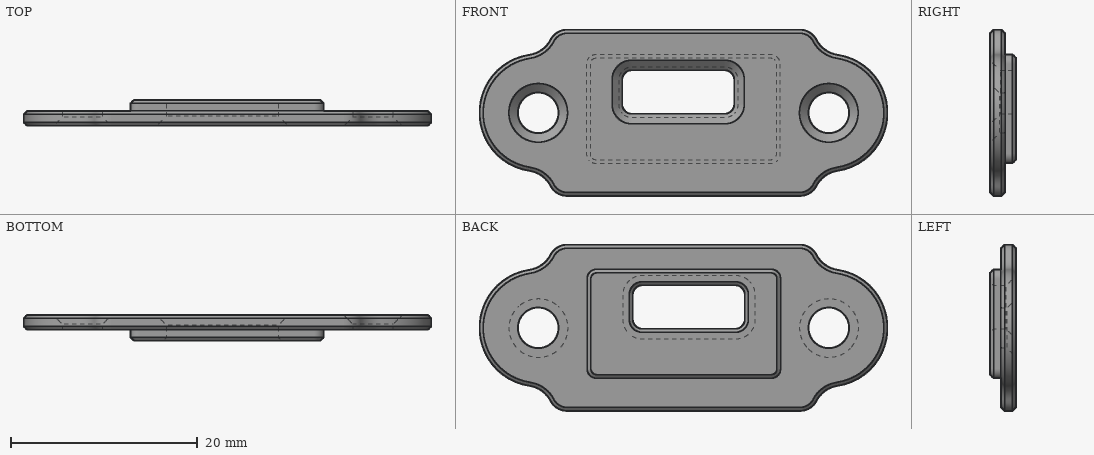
import cadquery as cq
import math

length = 43.65
height = 17.8
plate_thickness = 1.6
edge_chamfer = 0.4
lobe_radius = 6.3
lobe_x = length / 2 - lobe_radius
straight_half_length = 12.45
corner_radius = 2.0
neck_radius = 3.0

hole_diameter = 4.3
countersink_diameter = 6.3

pad_length = 20.7
pad_height = 11.65
pad_rise = 1.2
pad_corner_radius = 1.0
pad_x = -0.05
pad_z = 0.45

window_length = 11.95
window_height = 4.63
window_corner_radius = 1.0
window_chamfer = 1.1
window_x = -0.55
window_z = 2.23


def neck_center():
    """Center of the concave arc tangent to the right lobe and the upper right corner."""
    corner_z = height / 2 - corner_radius
    dx = straight_half_length - lobe_x
    spacing = math.hypot(dx, corner_z)
    to_lobe = lobe_radius + neck_radius
    to_corner = corner_radius + neck_radius
    along = (to_lobe**2 - to_corner**2 + spacing**2) / (2 * spacing)
    across = math.sqrt(to_lobe**2 - along**2)
    x = lobe_x + (along * dx + across * corner_z) / spacing
    z = (along * corner_z - across * dx) / spacing
    return x, z


def toward(start, end, distance):
    """Point at a distance from start in the direction of end."""
    span = math.hypot(end[0] - start[0], end[1] - start[1])
    return tuple(a + (b - a) * distance / span for a, b in zip(start, end))


def midpoint(start, end):
    """Point halfway between two points."""
    return (start[0] + end[0]) / 2, (start[1] + end[1]) / 2


def plate_outline():
    """Closed XZ outline, symmetric about both axes."""
    corner = (straight_half_length, height / 2 - corner_radius)
    neck = neck_center()
    top_end = (straight_half_length, height / 2)
    corner_end = toward(corner, neck, corner_radius)
    corner_mid = toward(corner, midpoint(top_end, corner_end), corner_radius)
    lobe_start = toward((lobe_x, 0), neck, lobe_radius)
    neck_mid = toward(neck, midpoint(corner_end, lobe_start), neck_radius)

    def mirrored(point, x_sign, z_sign):
        return point[0] * x_sign, point[1] * z_sign

    outline = cq.Workplane("XZ").moveTo(-straight_half_length, height / 2)
    for side in (1, -1):
        outline = (
            outline.lineTo(*mirrored(top_end, side, side))
            .threePointArc(mirrored(corner_mid, side, side), mirrored(corner_end, side, side))
            .threePointArc(mirrored(neck_mid, side, side), mirrored(lobe_start, side, side))
            .threePointArc((side * length / 2, 0), mirrored(lobe_start, side, -side))
            .threePointArc(mirrored(neck_mid, side, -side), mirrored(corner_end, side, -side))
            .threePointArc(mirrored(corner_mid, side, -side), mirrored(top_end, side, -side))
        )
    return outline.close()


def make_plate():
    """Plate with its front face at Y = 0 and both rims chamfered."""
    return plate_outline().extrude(-plate_thickness).faces("<Y or >Y").chamfer(edge_chamfer)


def make_pad():
    """Rounded pad behind the plate."""
    return (
        cq.Workplane("XZ", origin=(pad_x, plate_thickness, pad_z))
        .rect(pad_length, pad_height)
        .extrude(-pad_rise)
        .edges("|Y")
        .fillet(pad_corner_radius)
    )


def make_window_cutter():
    """Straight rounded opening that flares at 45 degrees to the front face."""
    depth = plate_thickness + pad_rise
    opening = (
        cq.Workplane("XZ", origin=(window_x, 0, window_z))
        .rect(window_length, window_height)
        .extrude(-depth)
        .edges("|Y")
        .fillet(window_corner_radius)
    )
    flare = (
        cq.Workplane("XZ", origin=(window_x, 0, window_z))
        .sketch()
        .rect(window_length + 2 * window_chamfer, window_height + 2 * window_chamfer)
        .vertices()
        .fillet(window_corner_radius + window_chamfer)
        .finalize()
        .extrude(-window_chamfer, taper=45)
    )
    return opening.union(flare)


def make_hole_cutter(x):
    """Through hole with a 45 degree countersink in the front face."""
    hole_radius = hole_diameter / 2
    sink_radius = countersink_diameter / 2
    sink_depth = sink_radius - hole_radius
    axis_y = cq.Vector(0, 1, 0)
    start = cq.Vector(x, 0, 0)
    hole = cq.Solid.makeCylinder(hole_radius, plate_thickness, start, axis_y)
    sink = cq.Solid.makeCone(sink_radius, hole_radius, sink_depth, start, axis_y)
    return hole.fuse(sink)


result = make_plate().union(make_pad()).cut(make_window_cutter())
result = result.faces(">Y").chamfer(edge_chamfer)
for hole_x in (-lobe_x, lobe_x):
    result = result.cut(make_hole_cutter(hole_x))